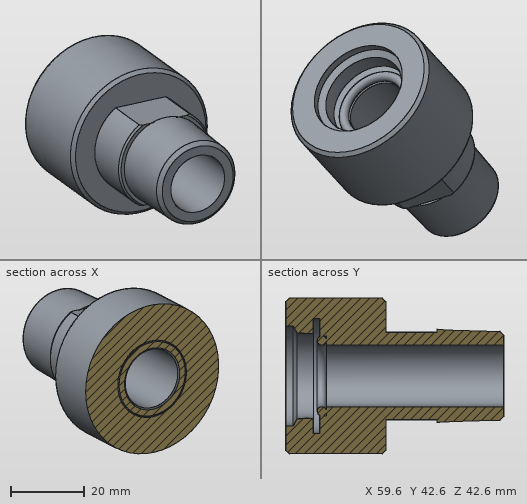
import cadquery as cq

total_length = 59.6
body_diameter = 42.65
body_length = 27.4
body_chamfer = 1.0
seam_position = 8.6

collar_diameter = 28.6
collar_end = 41.3
collar_chamfer = 0.55
width_across_flats = 23.95

spigot_root_diameter = 25.5
spigot_taper = 1 / 16
spigot_chamfer = 1.15

mouth_diameter = 27.2
mouth_depth = 2.1
neck_diameter = 23.4
neck_position = 3.1
neck_end_diameter = 23.1
groove_start = 7.55
groove_diameter = 31.2
groove_end = 9.3
seal_seat_diameter = 21.75
seal_seat_end = 11.15
bore_diameter = 16.75

seal_section_radius = 1.3
seal_center_radius = bore_diameter / 2 + seal_section_radius
seal_embed = 0.05
seal_position = seal_seat_end - seal_section_radius + seal_embed


def revolve_about_x(profile):
    return profile.close().revolve(360, (0, 0, 0), (1, 0, 0))


def make_body():
    radius = body_diameter / 2
    front_ring = cq.Workplane("YZ").circle(radius).extrude(seam_position)
    front_ring = front_ring.faces("<X").chamfer(body_chamfer)
    rear_length = body_length - seam_position
    rear = cq.Workplane("YZ", origin=(seam_position, 0, 0)).circle(radius).extrude(rear_length)
    rear = rear.faces(">X").chamfer(body_chamfer)
    return front_ring.union(rear, clean=False)


def make_collar():
    length = collar_end - body_length
    plane = cq.Workplane("YZ", origin=(body_length, 0, 0))
    collar = plane.circle(collar_diameter / 2).extrude(length).faces(">X").chamfer(collar_chamfer)
    flats = plane.rect(collar_diameter, width_across_flats).extrude(length)
    return collar.intersect(flats)


def make_spigot():
    root_radius = spigot_root_diameter / 2
    end_radius = root_radius - spigot_taper * (total_length - collar_end) / 2
    profile = (
        cq.Workplane("XY")
        .moveTo(collar_end, 0)
        .lineTo(collar_end, root_radius)
        .lineTo(total_length, end_radius)
        .lineTo(total_length, 0)
    )
    return revolve_about_x(profile).faces(">X").chamfer(spigot_chamfer)


def make_socket():
    profile = (
        cq.Workplane("XY")
        .lineTo(0, mouth_diameter / 2)
        .lineTo(mouth_depth, mouth_diameter / 2)
        .lineTo(neck_position, neck_diameter / 2)
        .lineTo(groove_start, neck_end_diameter / 2)
        .lineTo(groove_start, groove_diameter / 2)
        .lineTo(groove_end, groove_diameter / 2)
        .lineTo(groove_end, seal_seat_diameter / 2)
        .lineTo(seal_seat_end, seal_seat_diameter / 2)
        .lineTo(seal_seat_end, bore_diameter / 2)
        .lineTo(total_length, bore_diameter / 2)
        .lineTo(total_length, 0)
    )
    return revolve_about_x(profile)


def make_seal_ring():
    section = cq.Workplane("XY").center(seal_position, seal_center_radius).circle(seal_section_radius)
    return section.revolve(360, (0, -seal_center_radius, 0), (1, -seal_center_radius, 0))


result = make_body().union(make_collar(), clean=False).union(make_spigot(), clean=False)
result = result.cut(make_socket(), clean=False).union(make_seal_ring(), clean=False)